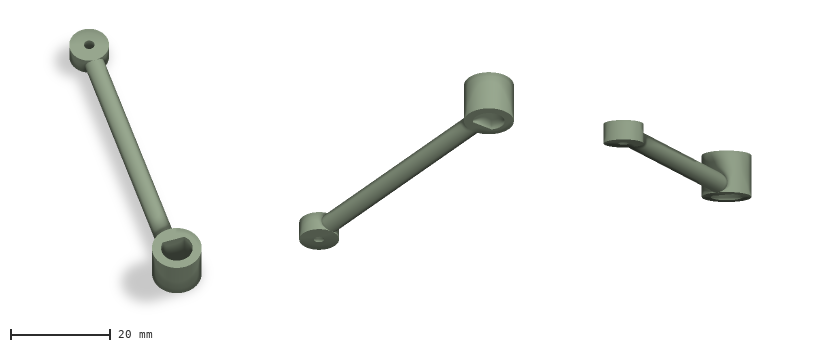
import cadquery as cq

center_distance = 57.0
rod_diameter = 4.0

pin_boss_diameter = 8.0
pin_boss_height = rod_diameter
pin_hole_diameter = 2.11

shaft_boss_diameter = 10.0
shaft_boss_height = 8.5
shaft_bore_diameter = 6.35
shaft_flat_offset = 2.2

pin_x = -center_distance


def cylinder_at(x, diameter, height):
    """Vertical cylinder standing on the base plane."""
    return cq.Workplane("XY").center(x, 0).circle(diameter / 2).extrude(height)


def connecting_rod():
    """Round rod between the two boss axes, resting on the base plane."""
    return (
        cq.Workplane("YZ", origin=(pin_x, 0, rod_diameter / 2))
        .circle(rod_diameter / 2)
        .extrude(center_distance)
    )


def d_bore():
    """Through bore with a flat on the side facing the rod."""
    bore_radius = shaft_bore_diameter / 2
    flat_side = cq.Workplane("XY").box(
        shaft_flat_offset + bore_radius,
        shaft_bore_diameter,
        shaft_boss_height,
        centered=(False, True, False),
    ).translate((-shaft_flat_offset, 0, 0))
    return cylinder_at(0, shaft_bore_diameter, shaft_boss_height).intersect(flat_side)


pin_boss = cylinder_at(pin_x, pin_boss_diameter, pin_boss_height)
shaft_boss = cylinder_at(0, shaft_boss_diameter, shaft_boss_height)
pin_hole = cylinder_at(pin_x, pin_hole_diameter, pin_boss_height)

result = connecting_rod().union(pin_boss).union(shaft_boss).cut(pin_hole).cut(d_bore())